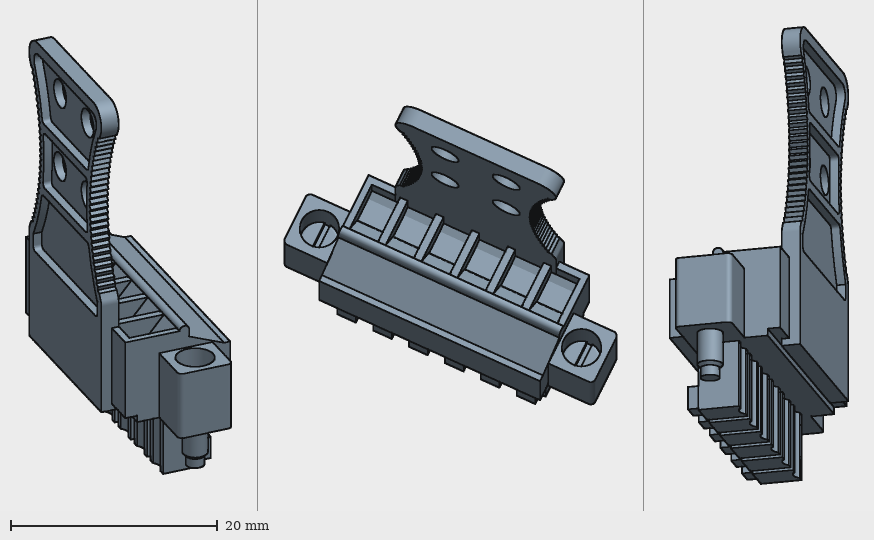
import cadquery as cq
import math


HOUSING_WIDTH = 23.65
BACK_Y = 4.7
FRONT_Y = -6.4
TOP_Z = 9.0
BACK_TOP_Z = 6.7
BACK_LEDGE_DEPTH = 0.65
BUMP_RADIUS = 0.46
BUMP_FLAT = 0.08
BUMP_Y = -0.15
BUMP_HALF_WIDTH = BUMP_RADIUS + BUMP_FLAT / 2
SLOPE_TOP_Z = 8.2
STEP_HEIGHT = 0.7
FRONT_STEP_Y = -5.15

OVERALL_WIDTH = 33.25
FLANGE_DEPTH = 5.65
FLANGE_HEIGHT = 7.05
FLANGE_CORNER_RADIUS = 0.5

POLE_COUNT = 6
POLE_PITCH = 3.84
CONTACT_WIDTH = 3.06
CONTACT_BACK_Y = 2.0
CONTACT_FRONT_Y = -2.08
CONTACT_LENGTH = 6.7
GROOVE_WIDTH = 1.74
GROOVE_DEPTH = 0.4
CATCH_WIDTH = 2.0
CATCH_DEPTH = 1.2
CATCH_TOP_Z = -4.05
CATCH_BOTTOM_Z = -6.35

POCKET_WIDTH = 3.03
POCKET_FLOOR_Z = 6.8
POCKET_RAMP_BACK_Y = BUMP_Y - BUMP_HALF_WIDTH
POCKET_FLOOR_BACK_Y = -2.34
POCKET_FLOOR_FRONT_Y = -4.83
POCKET_LIP_HEIGHT = 0.25
POCKET_FRONT_RAMP_HEIGHT = 0.26

SCREW_SPACING = 28.06
HEAD_DIAMETER = 3.8
HEAD_HEIGHT = 2.0
HEAD_SEAT_Z = 1.5
HEAD_EDGE_RADIUS = 0.32
SLOT_WIDTH = 0.6
SLOT_DEPTH = 0.8
SHANK_DIAMETER = 2.5
SHANK_END_Z = -3.25
TIP_DIAMETER = 1.85
TIP_START_Z = -3.6
TIP_END_Z = -4.6

HANDLE_WIDTH = 17.2
HANDLE_FRONT_Y = -7.5
HANDLE_THICKNESS = 1.85
HANDLE_BACK_Y = HANDLE_FRONT_Y + HANDLE_THICKNESS
HANDLE_TOP_Z = 33.05
HANDLE_CORNER_RADIUS = 1.9
SHOULDER_RADIUS = 1.0
WAIST_Z = 21.28
WAIST_RADIUS = 18.7
NOTCH_COUNT = 27
NOTCH_STEP = math.radians(2)
RECESS_DEPTH = 0.9
RECESS_MARGIN = 1.0
RECESS_CORNER_RADIUS = 0.45
TOP_RECESS_CORNER_RADIUS = 1.0
TOP_RECESS_Z = (24.9, 31.85)
MIDDLE_RECESS_Z = (17.95, 23.95)
LOWER_RECESS_Z = (9.9, 17.0)
HOLE_DIAMETER = 2.9
HOLE_SPACING = 6.54
HOLE_HEIGHTS = (20.93, 28.93)

POLE_XS = [(i - (POLE_COUNT - 1) / 2) * POLE_PITCH for i in range(POLE_COUNT)]
SCREW_XS = (-SCREW_SPACING / 2, SCREW_SPACING / 2)
HANDLE_HALF_WIDTH = HANDLE_WIDTH / 2

NOTCH_DEPTH = WAIST_RADIUS * (math.cos(NOTCH_STEP / 2) + math.sin(NOTCH_STEP / 2) - 1)

CORNER_X = HANDLE_HALF_WIDTH - HANDLE_CORNER_RADIUS
CORNER_Z = HANDLE_TOP_Z - HANDLE_CORNER_RADIUS
CENTRE_DISTANCE = WAIST_RADIUS + HANDLE_CORNER_RADIUS
WAIST_CENTRE_X = CORNER_X + math.sqrt(CENTRE_DISTANCE**2 - (CORNER_Z - WAIST_Z) ** 2)


def box(x_range, y_range, z_range):
    """Box between the given limits."""
    size = [high - low for low, high in (x_range, y_range, z_range)]
    corner = cq.Vector(x_range[0], y_range[0], z_range[0])
    return cq.Workplane(cq.Solid.makeBox(*size, corner))


def along_x(outline, width, x):
    """Extrude a YZ outline by a width centred on x."""
    return outline.extrude(width / 2, both=True).translate((x, 0, 0))


def make_block():
    """Main block: sloped back, round-edged bump along the top, stepped underside."""
    bump_front_y = BUMP_Y - BUMP_HALF_WIDTH
    bump_back_y = BUMP_Y + BUMP_HALF_WIDTH
    outline = (
        cq.Workplane("YZ")
        .moveTo(FRONT_Y, STEP_HEIGHT)
        .lineTo(FRONT_Y, TOP_Z)
        .lineTo(bump_front_y, TOP_Z)
        .radiusArc((BUMP_Y - BUMP_FLAT / 2, TOP_Z + BUMP_RADIUS), BUMP_RADIUS)
        .lineTo(BUMP_Y + BUMP_FLAT / 2, TOP_Z + BUMP_RADIUS)
        .radiusArc((bump_back_y, TOP_Z), BUMP_RADIUS)
        .lineTo(bump_back_y, SLOPE_TOP_Z)
        .lineTo(BACK_Y - BACK_LEDGE_DEPTH, BACK_TOP_Z)
        .lineTo(BACK_Y, BACK_TOP_Z)
        .lineTo(BACK_Y, STEP_HEIGHT)
        .lineTo(FLANGE_DEPTH / 2, STEP_HEIGHT)
        .lineTo(FLANGE_DEPTH / 2, 0)
        .lineTo(FRONT_STEP_Y, 0)
        .lineTo(FRONT_STEP_Y, STEP_HEIGHT)
        .close()
    )
    return along_x(outline, HOUSING_WIDTH, 0)


def make_flanges():
    """Bar through the block whose rounded ends carry the screws."""
    flange = cq.Workplane("XY").rect(OVERALL_WIDTH, FLANGE_DEPTH).extrude(FLANGE_HEIGHT)
    return flange.edges("|Z").fillet(FLANGE_CORNER_RADIUS)


def make_contact(x):
    """Downward contact with a shallow round groove in front and a catch at the back."""
    x_range = (x - CONTACT_WIDTH / 2, x + CONTACT_WIDTH / 2)
    contact = box(x_range, (CONTACT_FRONT_Y, CONTACT_BACK_Y), (-CONTACT_LENGTH, 0))
    groove = (
        cq.Workplane("XY")
        .moveTo(x - GROOVE_WIDTH / 2, CONTACT_FRONT_Y)
        .threePointArc((x, CONTACT_FRONT_Y + GROOVE_DEPTH), (x + GROOVE_WIDTH / 2, CONTACT_FRONT_Y))
        .close()
        .extrude(-CONTACT_LENGTH)
    )
    catch = box(
        (x - CATCH_WIDTH / 2, x + CATCH_WIDTH / 2),
        (CONTACT_BACK_Y, CONTACT_BACK_Y + CATCH_DEPTH),
        (CATCH_BOTTOM_Z, CATCH_TOP_Z),
    )
    return contact.cut(groove).union(catch)


def make_wire_pocket(x):
    """Pocket in the top with a sloped back, a flat floor and a low ramp at the front."""
    outline = (
        cq.Workplane("YZ")
        .moveTo(POCKET_RAMP_BACK_Y, TOP_Z)
        .lineTo(POCKET_FLOOR_BACK_Y, POCKET_FLOOR_Z + POCKET_LIP_HEIGHT)
        .lineTo(POCKET_FLOOR_BACK_Y, POCKET_FLOOR_Z)
        .lineTo(POCKET_FLOOR_FRONT_Y, POCKET_FLOOR_Z)
        .lineTo(HANDLE_BACK_Y, POCKET_FLOOR_Z + POCKET_FRONT_RAMP_HEIGHT)
        .lineTo(HANDLE_BACK_Y, TOP_Z)
        .close()
    )
    return along_x(outline, POCKET_WIDTH, x)


def make_screw_hole(x):
    """Through hole for the shank, opened out above the seat for the head."""
    shank_hole = cq.Workplane("XY").center(x, 0).circle(SHANK_DIAMETER / 2).extrude(FLANGE_HEIGHT)
    head_hole = (
        cq.Workplane("XY", origin=(x, 0, HEAD_SEAT_Z))
        .circle(HEAD_DIAMETER / 2)
        .extrude(FLANGE_HEIGHT - HEAD_SEAT_Z)
    )
    return shank_hole.union(head_hole)


def make_handle_seat():
    """Recess in the front of the block that takes the handle plate."""
    return box((-HANDLE_HALF_WIDTH, HANDLE_HALF_WIDTH), (FRONT_Y, HANDLE_BACK_Y), (0, TOP_Z))


def make_housing():
    housing = make_block().union(make_flanges()).cut(make_handle_seat())
    for x in POLE_XS:
        housing = housing.union(make_contact(x)).cut(make_wire_pocket(x))
    for x in SCREW_XS:
        housing = housing.cut(make_screw_hole(x))
    return housing


def make_screw(x):
    """Slotted screw with a round-edged head and a reduced tip."""
    head_top_z = HEAD_SEAT_Z + HEAD_HEIGHT
    screw = (
        cq.Workplane("XZ")
        .moveTo(0, TIP_END_Z)
        .lineTo(TIP_DIAMETER / 2, TIP_END_Z)
        .lineTo(TIP_DIAMETER / 2, TIP_START_Z)
        .lineTo(SHANK_DIAMETER / 2, SHANK_END_Z)
        .lineTo(SHANK_DIAMETER / 2, HEAD_SEAT_Z)
        .lineTo(HEAD_DIAMETER / 2, HEAD_SEAT_Z)
        .lineTo(HEAD_DIAMETER / 2, head_top_z)
        .lineTo(0, head_top_z)
        .close()
        .revolve(360, (0, 0, 0), (0, 1, 0))
        .faces(">Z")
        .edges()
        .fillet(HEAD_EDGE_RADIUS)
    )
    slot = box(
        (-SLOT_WIDTH / 2, SLOT_WIDTH / 2),
        (-HEAD_DIAMETER, HEAD_DIAMETER),
        (head_top_z - SLOT_DEPTH, head_top_z),
    )
    return screw.cut(slot).translate((x, 0, 0))


def through_handle(outline):
    """Extrude an XZ outline through the full thickness of the handle plate."""
    return outline.extrude(-HANDLE_THICKNESS).translate((0, HANDLE_FRONT_Y, 0))


def waist_point(angle, depth=0.0):
    """Point on the right-hand waist arc, moved into the plate by a depth."""
    radius = WAIST_RADIUS + depth
    return (WAIST_CENTRE_X - radius * math.cos(angle), WAIST_Z + radius * math.sin(angle))


def waist_cylinders(radius):
    """Pair of cylinders along Y, one centred on each waist arc."""
    centres = [(-WAIST_CENTRE_X, WAIST_Z), (WAIST_CENTRE_X, WAIST_Z)]
    return through_handle(cq.Workplane("XZ").pushPoints(centres).circle(radius))


def make_grip_notches():
    """Row of V notches along the right-hand waist, meeting in sharp teeth."""
    first_angle = -NOTCH_COUNT / 2 * NOTCH_STEP
    points = [waist_point(first_angle)]
    for i in range(NOTCH_COUNT):
        points.append(waist_point(first_angle + (i + 0.5) * NOTCH_STEP, NOTCH_DEPTH))
        points.append(waist_point(first_angle + (i + 1) * NOTCH_STEP))
    outline = cq.Workplane("XZ").polyline(points + [(WAIST_CENTRE_X, WAIST_Z)]).close()
    return through_handle(outline)


def make_recess(z_range, half_width, top_radius):
    """Shallow recess that follows the waist at a constant margin."""
    y_range = (HANDLE_FRONT_Y, HANDLE_FRONT_Y + RECESS_DEPTH)
    recess = box((-half_width, half_width), y_range, z_range)
    recess = recess.cut(waist_cylinders(WAIST_RADIUS + RECESS_MARGIN))
    recess = recess.faces(">Z").edges("|Y").fillet(top_radius)
    return recess.faces("<Z").edges("|Y").fillet(RECESS_CORNER_RADIUS)


def make_plate():
    """Plate with straight lower sides, a waist arc on each side and rounded top corners."""
    shoulder_angle = -math.acos((WAIST_CENTRE_X - HANDLE_HALF_WIDTH) / WAIST_RADIUS)
    corner_angle = math.asin((CORNER_Z - WAIST_Z) / CENTRE_DISTANCE)
    corner_middle_angle = (math.pi / 2 - corner_angle) / 2
    corner_middle = (
        CORNER_X + HANDLE_CORNER_RADIUS * math.cos(corner_middle_angle),
        CORNER_Z + HANDLE_CORNER_RADIUS * math.sin(corner_middle_angle),
    )
    outline = (
        cq.Workplane("XZ")
        .lineTo(HANDLE_HALF_WIDTH, 0)
        .lineTo(*waist_point(shoulder_angle))
        .threePointArc(waist_point(0), waist_point(corner_angle))
        .threePointArc(corner_middle, (CORNER_X, HANDLE_TOP_Z))
        .lineTo(0, HANDLE_TOP_Z)
        .mirrorY()
    )
    plate = through_handle(outline)
    shoulder_z = waist_point(shoulder_angle)[1]
    shoulder_zone = cq.selectors.BoxSelector(
        (-HANDLE_WIDTH, HANDLE_FRONT_Y, shoulder_z - SHOULDER_RADIUS),
        (HANDLE_WIDTH, HANDLE_BACK_Y, shoulder_z + SHOULDER_RADIUS),
    )
    return plate.edges("|Y").edges(shoulder_zone).fillet(SHOULDER_RADIUS)


def make_finger_holes():
    centres = [(side * HOLE_SPACING / 2, z) for side in (-1, 1) for z in HOLE_HEIGHTS]
    holes = cq.Workplane("XZ").pushPoints(centres).circle(HOLE_DIAMETER / 2)
    return through_handle(holes)


def make_handle():
    notches = make_grip_notches()
    handle = make_plate().cut(notches).cut(notches.mirror("YZ"))
    lower_half_width = HANDLE_HALF_WIDTH - RECESS_MARGIN
    handle = handle.cut(make_recess(TOP_RECESS_Z, HANDLE_HALF_WIDTH, TOP_RECESS_CORNER_RADIUS))
    handle = handle.cut(make_recess(MIDDLE_RECESS_Z, HANDLE_HALF_WIDTH, RECESS_CORNER_RADIUS))
    handle = handle.cut(make_recess(LOWER_RECESS_Z, lower_half_width, RECESS_CORNER_RADIUS))
    return handle.cut(make_finger_holes())


housing = make_housing()
handle = make_handle()
screws = [make_screw(x) for x in SCREW_XS]

result = cq.Compound.makeCompound([housing.val(), handle.val(), *[screw.val() for screw in screws]])